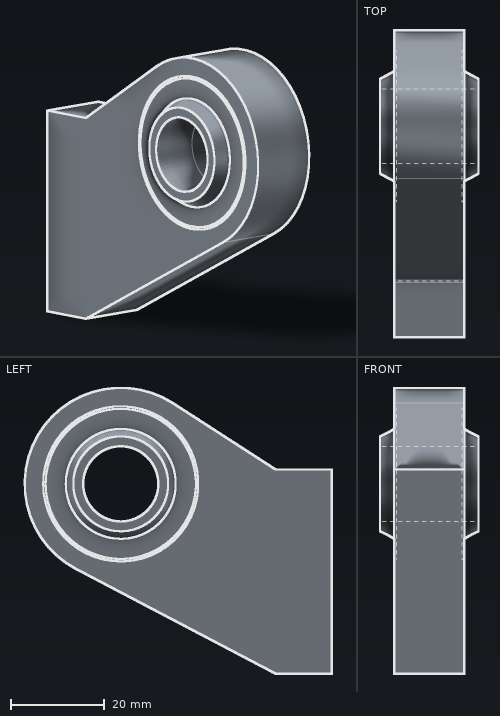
import cadquery as cq
import math

overall_length = 65.45
overall_height = 60.95
eye_radius = 20.5

housing_width = 15.0
foot_length = 12.0
foot_height = 43.5
corner_fillet = 1.0

bore_diameter = 16.0
race_diameter = 32.0
groove_size = 0.5
ring_width = 21.0
ring_end_diameter = 20.2
ring_root_diameter = 23.45

foot_back_y = eye_radius - overall_length
foot_front_y = foot_back_y + foot_length
foot_bottom_z = eye_radius - overall_height
foot_top_z = foot_bottom_z + foot_height


def tangent_point(corner, side):
    """Point where a line from the corner touches the eye circle, on side +1 or -1."""
    y, z = corner
    turn = math.acos(eye_radius / math.hypot(y, z))
    angle = math.atan2(z, y) + side * turn
    return (eye_radius * math.cos(angle), eye_radius * math.sin(angle))


def make_housing():
    """Round eye joined to a rectangular foot by two tangent flanks."""
    top_corner = (foot_front_y, foot_top_z)
    bottom_corner = (foot_front_y, foot_bottom_z)
    body = (
        cq.Workplane("YZ")
        .moveTo(*tangent_point(top_corner, -1))
        .threePointArc((eye_radius, 0), tangent_point(bottom_corner, 1))
        .lineTo(*bottom_corner)
        .lineTo(foot_back_y, foot_bottom_z)
        .lineTo(foot_back_y, foot_top_z)
        .lineTo(*top_corner)
        .close()
        .extrude(housing_width / 2, both=True)
    )
    corner_selector = cq.selectors.NearestToPointSelector((0, *top_corner))
    return body.edges("|X").edges(corner_selector).fillet(corner_fillet)


def make_race_groove(side):
    """Groove around the race, flared outward to the housing face, on the +X or -X side."""
    face_x = side * housing_width / 2
    race_radius = race_diameter / 2
    return (
        cq.Workplane("XY")
        .moveTo(face_x, race_radius)
        .lineTo(face_x, race_radius + groove_size)
        .lineTo(face_x - side * groove_size, race_radius)
        .close()
        .revolve(360, (0, 0, 0), (1, 0, 0))
    )


def make_ring_end(side):
    """Tapered inner ring end standing out of the housing face on the +X or -X side."""
    return (
        cq.Workplane("YZ", origin=(side * housing_width / 2, 0, 0))
        .circle(ring_root_diameter / 2)
        .workplane(offset=side * (ring_width - housing_width) / 2)
        .circle(ring_end_diameter / 2)
        .loft()
    )


result = make_housing()
for side in (-1, 1):
    result = result.cut(make_race_groove(side)).union(make_ring_end(side))

bore = cq.Workplane("YZ").circle(bore_diameter / 2).extrude(ring_width, both=True)
result = result.cut(bore)